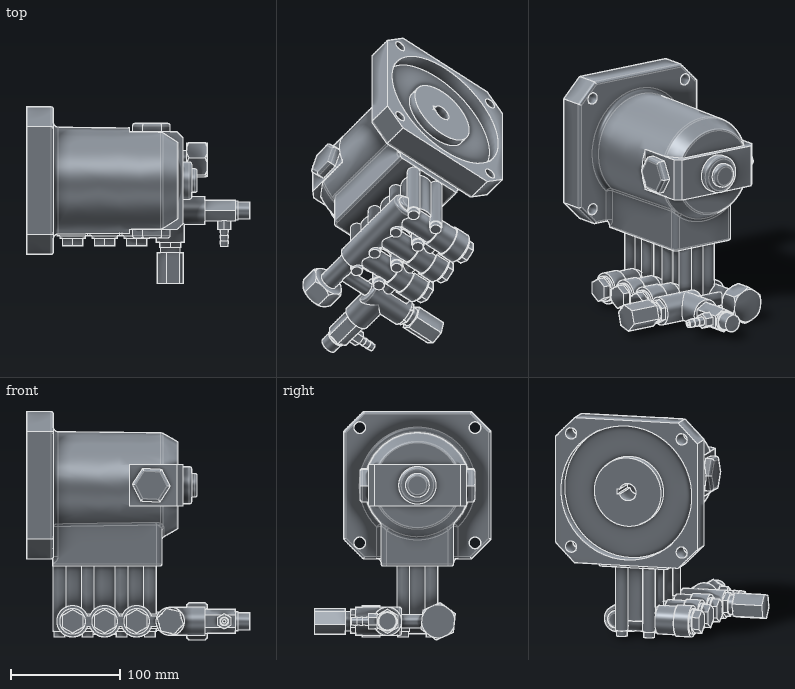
import cadquery as cq
import math

HEX_STEP = 60
POINT_UP = 30
SELECTION_MARGIN = 0.2
SELECTION_REACH = 2.0

FLANGE_SIZE = 135.0
FLANGE_THICKNESS = 24.5
FLANGE_CORNER_CUT = 18.2
FLANGE_REAR_ROUND = 2.3
BOLT_HOLE_OFFSET = 52.6
BOLT_HOLE_DIAMETER = 10.5
RECESS_DIAMETER = 124.5
RECESS_DEPTH = 12.7
HUB_DIAMETER = 63.5
HUB_HEIGHT = 8.4
BORE_DIAMETER = 15.9
BORE_DEPTH = 33.5
KEYWAY_REACH = 10.0
KEYWAY_WIDTH = 4.5

BARREL_RADIUS_FRONT = 49.0
BARREL_RADIUS_REAR = 48.0
BARREL_END_X = 123.7
BARREL_ROOT_ROUND = 4.2
DOME_END_X = 138.3
DOME_END_RADIUS = 39.7
DOME_SHOULDER_ROUND = 4.5
DOME_END_ROUND = 1.7
BLOCK_START_X = 23.8
BLOCK_END_X = BARREL_END_X
BLOCK_WIDTH = 66.2
BLOCK_BOTTOM_Z = -74.0
BLOCK_CORNER_ROUND = 5.0
BLOCK_BOTTOM_ROUND = 2.0
BLOCK_TOP_ROUND = 3.3
BLOCK_TOP_RISE = 3.1

BOSS_START_X = 94.0
BOSS_END_X = 143.0
BOSS_WIDTH = 89.5
BOSS_HEIGHT = 38.0
BOSS_CORNER_CUT = 5.5
PLUG_X = 113.9
PLUG_ACROSS_CORNERS = 34.7
PLUG_TILT = -3.0
PLUG_HEIGHT = 7.7
PLUG_EDGE_ROUND = 2.5
CAP_RADIUS = 17.1
CAP_LENGTH = 8.0
CAP_EDGE_ROUND = 2.3
CAP_TIP_RADIUS = 10.9
CAP_TIP_LENGTH = 5.0

HEAD_AXIS_Z = -124.3
CENTRE_X = 71.2
CYLINDER_PITCH = 29.2
CYLINDER_XS = (CENTRE_X - CYLINDER_PITCH, CENTRE_X, CENTRE_X + CYLINDER_PITCH)
CYLINDER_RADIUS = 14.5
ROD_RADIUS = 5.8
ROD_OFFSETS_X = (-41.4, -15.5, 15.5, 41.4)
ROD_OFFSET_Y = 13.0
ROD_BOTTOM_Z = -133.5
BOLT_RADIUS = 5.0
BOLT_BOTTOM_Z = -138.7

VALVE_CORE_RADIUS = 11.5
VALVE_BODY_RADIUS = 13.2
VALVE_BODY_START = 18.5
VALVE_COLLAR_STARTS = (36.5, 36.5, 34.0)
VALVE_COLLAR_END = 50.5
VALVE_COLLAR_RADIUS = 14.5
VALVE_DISC_END = 52.9
VALVE_DISC_RADIUS = 11.7
VALVE_HEX_END = 59.5
VALVE_HEX_FLATS = 18.5

GALLERY_RADIUS = 6.7
GALLERY_WEB_HEIGHT = 9.6

TEE_X = 131.2
TEE_RADIUS = 13.0
TEE_BACK = 14.6
TEE_BACK_ROUND = 1.9
BYPASS_RADIUS = 6.3
TEE_FRONT = 56.5
TEE_HEX_END = 61.0
TEE_HEX_FLATS = 19.2
TEE_NECK_END = 65.8
TEE_NECK_RADIUS = 9.0
TEE_NUT_END = 94.2
TEE_NUT_CORNERS = 24.7
TEE_NUT_TILT = 46.0

BRANCH_Y = -27.4
BRANCH_END_X = 162.7
BRANCH_HEX_END_X = 190.7
BRANCH_HEX_FLATS = 19.2
BRANCH_COLLAR_END_X = 193.3
BRANCH_COLLAR_RADIUS = 8.8
BRANCH_TIP_END_X = 204.0
BRANCH_TIP_RADIUS = 8.0
BARB_X = 180.5
BARB_HEX_FLATS = 12.1
BARB_HEX_START = 36.4
BARB_HEX_END = 44.7
BARB_END = 60.4
BARB_COUNT = 3
BARB_RADIUS = 4.0
BARB_ROOT_RADIUS = 3.3
BARB_BORE_RADIUS = 1.5

INLET_Y = 19.0
INLET_START_X = 33.2
INLET_RADIUS = 12.1
INLET_EDGE_ROUND = 2.0
INLET_END_X = 112.6
INLET_NECK_RADIUS = 8.5
INLET_PLUG_RADIUS = 8.1
INLET_PLUG_LENGTH = 3.1
INLET_NUT_START_X = 146.2
INLET_NUT_END_X = 165.0
INLET_NUT_CORNERS = 34.5
INLET_NUT_TILT = 84.0
INLET_NUT_EDGE_CUT = 2.0


def hexagon_points(across_corners, tilt):
    """Corners of a hexagon, the first one `tilt` degrees from the local x axis."""
    radius = across_corners / 2
    angles = [math.radians(tilt + HEX_STEP * i) for i in range(6)]
    return [(radius * math.cos(a), radius * math.sin(a)) for a in angles]


def corners_from_flats(across_flats):
    return across_flats / math.cos(math.radians(HEX_STEP / 2))


def rod_x(radius, start, end, y, z):
    """Round bar along X."""
    return cq.Workplane("YZ", origin=(start, y, z)).circle(radius).extrude(end - start)


def hex_x(across_corners, tilt, start, end, y, z):
    """Hexagonal bar along X, tilted from +Y towards +Z."""
    plane = cq.Workplane("YZ", origin=(start, y, z))
    return plane.polyline(hexagon_points(across_corners, tilt)).close().extrude(end - start)


def rod_y(radius, start, end, x, z):
    """Round bar running towards -Y, between two distances from the X axis."""
    return cq.Workplane("XZ", origin=(x, -start, z)).circle(radius).extrude(end - start)


def hex_y(across_corners, tilt, start, end, x, z):
    """Hexagonal bar running towards -Y, tilted from +X towards +Z."""
    plane = cq.Workplane("XZ", origin=(x, -start, z))
    return plane.polyline(hexagon_points(across_corners, tilt)).close().extrude(end - start)


def rod_z(radius, bottom, top, x, y):
    """Round bar along Z."""
    return cq.Workplane("XY", origin=(x, y, bottom)).circle(radius).extrude(top - bottom)


def make_flange():
    plate = cq.Workplane("YZ").rect(FLANGE_SIZE, FLANGE_SIZE).extrude(FLANGE_THICKNESS)
    plate = plate.edges("|X").chamfer(FLANGE_CORNER_CUT)
    return plate.faces(">X").edges().fillet(FLANGE_REAR_ROUND)


def make_barrel():
    """Slightly tapered barrel that ends in a cone."""
    outline = (
        cq.Workplane("XY")
        .moveTo(RECESS_DEPTH, 0)
        .lineTo(RECESS_DEPTH, BARREL_RADIUS_FRONT)
        .lineTo(FLANGE_THICKNESS, BARREL_RADIUS_FRONT)
        .lineTo(BARREL_END_X, BARREL_RADIUS_REAR)
        .lineTo(DOME_END_X, DOME_END_RADIUS)
        .lineTo(DOME_END_X, 0)
        .close()
    )
    barrel = outline.revolve(360, (0, 0, 0), (1, 0, 0))
    shoulder = cq.selectors.BoxSelector(
        (BARREL_END_X - SELECTION_REACH, -BARREL_RADIUS_FRONT, -BARREL_RADIUS_FRONT),
        (BARREL_END_X + SELECTION_REACH, BARREL_RADIUS_FRONT, BARREL_RADIUS_FRONT),
        boundingbox=True,
    )
    barrel = barrel.edges(shoulder).fillet(DOME_SHOULDER_ROUND)
    return barrel.faces(">X").edges().fillet(DOME_END_ROUND)


def make_block():
    length = BLOCK_END_X - BLOCK_START_X
    block = cq.Workplane("XY", origin=(BLOCK_START_X, 0, BLOCK_BOTTOM_Z)).box(
        length, BLOCK_WIDTH, -BLOCK_BOTTOM_Z, centered=(False, True, False)
    )
    block = block.edges("|Z and >X").fillet(BLOCK_CORNER_ROUND)
    return block.faces("<Z").edges(">X").fillet(BLOCK_BOTTOM_ROUND)


def make_barrel_and_block():
    """Barrel on its block, rounded where the block sides run into the barrel."""
    body = make_barrel().union(make_block())
    half_width = BLOCK_WIDTH / 2
    joint_depth = math.sqrt(BARREL_RADIUS_FRONT**2 - half_width**2)
    side = half_width + SELECTION_MARGIN
    joint = cq.selectors.BoxSelector(
        (BLOCK_START_X - SELECTION_REACH, -side, -joint_depth - 2 * SELECTION_MARGIN),
        (BLOCK_END_X + SELECTION_REACH, side, -joint_depth + BLOCK_TOP_RISE),
        boundingbox=True,
    )
    return body.edges(joint).fillet(BLOCK_TOP_ROUND)


def make_boss():
    length = BOSS_END_X - BOSS_START_X
    boss = cq.Workplane("XY", origin=(BOSS_START_X, 0, 0)).box(
        length, BOSS_WIDTH, BOSS_HEIGHT, centered=(False, True, True)
    )
    return boss.edges("|Z and >X").chamfer(BOSS_CORNER_CUT)


def make_plug():
    start = BOSS_WIDTH / 2
    plug = hex_y(PLUG_ACROSS_CORNERS, PLUG_TILT, start, start + PLUG_HEIGHT, PLUG_X, 0)
    return plug.faces("<Y").edges().fillet(PLUG_EDGE_ROUND)


def make_cap():
    cap_end = BOSS_END_X + CAP_LENGTH
    cap = rod_x(CAP_RADIUS, BOSS_END_X, cap_end, 0, 0).faces(">X").edges().fillet(CAP_EDGE_ROUND)
    tip = rod_x(CAP_TIP_RADIUS, cap_end, cap_end + CAP_TIP_LENGTH, 0, 0)
    return cap.union(tip.faces(">X").edges().fillet(CAP_EDGE_ROUND))


def cut_spot_faces(housing):
    """Flattens the barrel flush with both ends of the cross boss."""
    length = BOSS_END_X - BOSS_START_X
    for side in (-1, 1):
        spot_face = cq.Workplane("XY", origin=(BOSS_START_X, side * BOSS_WIDTH, 0)).box(
            length, BOSS_WIDTH, BOSS_HEIGHT, centered=(False, True, True)
        )
        housing = housing.cut(spot_face)
    return housing


def cut_flange_face(housing):
    """Round recess with a keyed hub inside, and the four bolt holes."""
    recess = rod_x(RECESS_DIAMETER / 2, 0, RECESS_DEPTH, 0, 0)
    hub_face = RECESS_DEPTH - HUB_HEIGHT
    hub = rod_x(HUB_DIAMETER / 2, hub_face, RECESS_DEPTH, 0, 0)
    bore = rod_x(BORE_DIAMETER / 2, hub_face, hub_face + BORE_DEPTH, 0, 0)
    keyway = cq.Workplane("XY", origin=(hub_face, 0, 0)).box(
        BORE_DEPTH, KEYWAY_REACH, KEYWAY_WIDTH, centered=(False, False, True)
    )
    hole_spacing = 2 * BOLT_HOLE_OFFSET
    bolt_holes = (
        cq.Workplane("YZ")
        .rect(hole_spacing, hole_spacing, forConstruction=True)
        .vertices()
        .circle(BOLT_HOLE_DIAMETER / 2)
        .extrude(FLANGE_THICKNESS)
    )
    return housing.cut(recess).cut(bolt_holes).union(hub).cut(bore).cut(keyway)


def make_housing():
    housing = make_flange().union(make_barrel_and_block())
    lowest_z = -FLANGE_SIZE / 2 + 2 * FLANGE_REAR_ROUND
    root = cq.selectors.BoxSelector(
        (FLANGE_THICKNESS - SELECTION_MARGIN, -BARREL_RADIUS_FRONT, lowest_z),
        (FLANGE_THICKNESS + SELECTION_MARGIN, BARREL_RADIUS_FRONT, BARREL_RADIUS_FRONT),
    )
    housing = housing.edges(root).fillet(BARREL_ROOT_ROUND)
    housing = cut_spot_faces(housing)
    plug = make_plug()
    housing = housing.union(make_boss()).union(plug).union(plug.mirror("XZ")).union(make_cap())
    return cut_flange_face(housing)


def make_cylinders_and_rods():
    head = rod_z(CYLINDER_RADIUS, HEAD_AXIS_Z, BLOCK_BOTTOM_Z, CYLINDER_XS[0], 0)
    for x in CYLINDER_XS[1:]:
        head = head.union(rod_z(CYLINDER_RADIUS, HEAD_AXIS_Z, BLOCK_BOTTOM_Z, x, 0))
    for dx in ROD_OFFSETS_X:
        for y in (-ROD_OFFSET_Y, ROD_OFFSET_Y):
            head = head.union(rod_z(ROD_RADIUS, ROD_BOTTOM_Z, BLOCK_BOTTOM_Z, CENTRE_X + dx, y))
            head = head.union(rod_z(BOLT_RADIUS, BOLT_BOTTOM_Z, ROD_BOTTOM_Z, CENTRE_X + dx, y))
    return head


def make_valve(x, collar_start):
    z = HEAD_AXIS_Z
    core = rod_y(VALVE_CORE_RADIUS, -INLET_Y, VALVE_BODY_START, x, z)
    body = rod_y(VALVE_BODY_RADIUS, VALVE_BODY_START, collar_start, x, z)
    collar = rod_y(VALVE_COLLAR_RADIUS, collar_start, VALVE_COLLAR_END, x, z)
    disc = rod_y(VALVE_DISC_RADIUS, VALVE_COLLAR_END, VALVE_DISC_END, x, z)
    hex_corners = corners_from_flats(VALVE_HEX_FLATS)
    hex_head = hex_y(hex_corners, POINT_UP, VALVE_DISC_END, VALVE_HEX_END, x, z)
    return core.union(body).union(collar).union(disc).union(hex_head)


def make_gallery():
    """Round gallery through all valves, with a flat web in front of it."""
    start_x = CYLINDER_XS[0]
    gallery = rod_x(GALLERY_RADIUS, start_x, TEE_X, BRANCH_Y, HEAD_AXIS_Z)
    web = cq.Workplane("XY", origin=(start_x, -VALVE_COLLAR_END, HEAD_AXIS_Z)).box(
        TEE_X - start_x, VALVE_COLLAR_END + BRANCH_Y, GALLERY_WEB_HEIGHT, centered=(False, False, True)
    )
    return gallery.union(web)


def make_tee():
    x, z = TEE_X, HEAD_AXIS_Z
    hex_corners = corners_from_flats(TEE_HEX_FLATS)
    tee = rod_y(TEE_RADIUS, TEE_BACK, TEE_FRONT, x, z).faces(">Y").edges().fillet(TEE_BACK_ROUND)
    tee = tee.union(rod_y(BYPASS_RADIUS, -INLET_Y, TEE_BACK, x, z))
    tee = tee.union(hex_y(hex_corners, POINT_UP, TEE_FRONT, TEE_HEX_END, x, z))
    tee = tee.union(rod_y(TEE_NECK_RADIUS, TEE_HEX_END, TEE_NECK_END, x, z))
    return tee.union(hex_y(TEE_NUT_CORNERS, TEE_NUT_TILT, TEE_NECK_END, TEE_NUT_END, x, z))


def make_branch():
    y, z = BRANCH_Y, HEAD_AXIS_Z
    hex_corners = corners_from_flats(BRANCH_HEX_FLATS)
    branch = rod_x(TEE_RADIUS, TEE_X, BRANCH_END_X, y, z)
    branch = branch.union(hex_x(hex_corners, POINT_UP, BRANCH_END_X, BRANCH_HEX_END_X, y, z))
    branch = branch.union(rod_x(BRANCH_COLLAR_RADIUS, BRANCH_HEX_END_X, BRANCH_COLLAR_END_X, y, z))
    return branch.union(rod_x(BRANCH_TIP_RADIUS, BRANCH_COLLAR_END_X, BRANCH_TIP_END_X, y, z))


def make_barb():
    """Hose barb on the side of the branch hexagon."""
    hex_corners = corners_from_flats(BARB_HEX_FLATS)
    barb = hex_y(hex_corners, POINT_UP, BARB_HEX_START, BARB_HEX_END, BARB_X, HEAD_AXIS_Z)
    step = (BARB_END - BARB_HEX_END) / BARB_COUNT
    for i in range(BARB_COUNT):
        start = BARB_HEX_END + i * step
        cone = (
            cq.Workplane("XZ", origin=(BARB_X, -start, HEAD_AXIS_Z))
            .circle(BARB_RADIUS)
            .workplane(offset=step)
            .circle(BARB_ROOT_RADIUS)
            .loft()
        )
        barb = barb.union(cone)
    return barb.cut(rod_y(BARB_BORE_RADIUS, BARB_HEX_END, BARB_END, BARB_X, HEAD_AXIS_Z))


def make_inlet():
    """Inlet pipe with a stepped blind end and a hexagonal nut at the other end."""
    y, z = INLET_Y, HEAD_AXIS_Z
    plug = rod_x(INLET_PLUG_RADIUS, INLET_START_X - INLET_PLUG_LENGTH, INLET_START_X, y, z)
    pipe = rod_x(INLET_RADIUS, INLET_START_X, INLET_END_X, y, z)
    inlet = plug.faces("<X").edges().fillet(INLET_EDGE_ROUND)
    inlet = inlet.union(pipe.faces("<X").edges().fillet(INLET_EDGE_ROUND))
    inlet = inlet.union(rod_x(INLET_NECK_RADIUS, INLET_END_X, INLET_NUT_START_X, y, z))
    nut = hex_x(INLET_NUT_CORNERS, INLET_NUT_TILT, INLET_NUT_START_X, INLET_NUT_END_X, y, z)
    turned = rod_x(INLET_NUT_CORNERS / 2, INLET_NUT_START_X, INLET_NUT_END_X, y, z)
    turned = turned.edges("%CIRCLE").chamfer(INLET_NUT_EDGE_CUT)
    return inlet.union(nut.intersect(turned))


def make_pump_head():
    head = make_cylinders_and_rods().union(make_inlet()).union(make_gallery())
    for x, collar_start in zip(CYLINDER_XS, VALVE_COLLAR_STARTS):
        head = head.union(make_valve(x, collar_start))
    return head.union(make_tee()).union(make_branch()).union(make_barb())


housing = make_housing()
pump_head = make_pump_head()
result = cq.Compound.makeCompound([*housing.vals(), *pump_head.vals()])